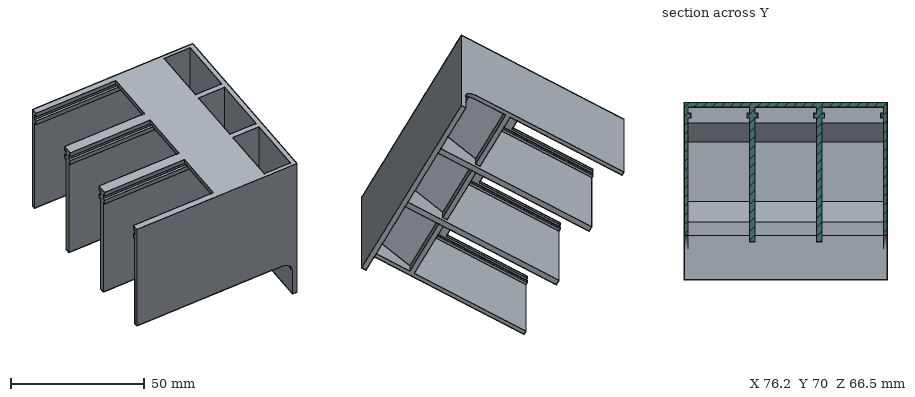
import cadquery as cq

WIDTH = 76.2
DEPTH = 70.0
HEIGHT = 66.5
BAYS = 3

SIDE_WALL = 1.5
DIVIDER = 2.1
BACK_WALL = 2.0
SIDE_BOTTOM = 16.6
DIVIDER_BOTTOM = 14.2
CORNER_RADIUS = 4.95

TOP_THICKNESS = 1.9
TOP_FRONT = 35.1
SLOT_FRONT = 13.4
LIP = 1.0
RIB_DROP = 4.05
RIB_HEIGHT = 1.9

INNER_WALL = 1.9
UPPER_STEP = 6.4
LOWER_STEP = 12.95
UPPER_SLOPE_DROP = 7.7
UPPER_SLOPE_END_DROP = 14.9
LOWER_SLOPE_DROP = 37.2
LOWER_SLOPE_END_DROP = 44.95

BAY_WIDTH = (WIDTH - 2 * SIDE_WALL - (BAYS - 1) * DIVIDER) / BAYS
PITCH = BAY_WIDTH + DIVIDER


def block(x_min, x_max, front, back, z_min, z_max):
    """Box between limits; front and back are distances from the back face."""
    size = (x_max - x_min, front - back, z_max - z_min)
    return cq.Workplane("XY").box(*size, centered=False).translate((x_min, -front, z_min))


def side_wall(x_min):
    """Outer wall with a rounded inside corner where it meets the back wall."""
    wall = block(x_min, x_min + SIDE_WALL, DEPTH, 0, SIDE_BOTTOM, HEIGHT)
    corner_front = BACK_WALL + CORNER_RADIUS
    corner_bottom = SIDE_BOTTOM - CORNER_RADIUS
    corner = block(x_min, x_min + SIDE_WALL, corner_front, 0, corner_bottom, SIDE_BOTTOM)
    rounding = (
        cq.Workplane("YZ", origin=(x_min, 0, 0))
        .center(-corner_front, corner_bottom)
        .circle(CORNER_RADIUS)
        .extrude(SIDE_WALL)
    )
    return wall.union(corner.cut(rounding))


def inner_wall():
    """Folded wall of constant depth along Y that separates the rear ducts from the bays."""
    back = -SLOT_FRONT
    lower_back = back + UPPER_STEP - LOWER_STEP
    levels = [
        (back, HEIGHT),
        (back, HEIGHT - UPPER_SLOPE_DROP),
        (back + UPPER_STEP, HEIGHT - UPPER_SLOPE_END_DROP),
        (back + UPPER_STEP, HEIGHT - LOWER_SLOPE_DROP),
        (lower_back, HEIGHT - LOWER_SLOPE_END_DROP),
        (lower_back, SIDE_BOTTOM),
    ]
    front_edge = [(y - INNER_WALL, z) for y, z in reversed(levels)]
    inner_width = WIDTH - 2 * SIDE_WALL
    profile = cq.Workplane("YZ").polyline(levels + front_edge).close()
    return profile.extrude(inner_width / 2, both=True)


def guides(x_min, x_max):
    """Top lip and lower rib overhanging the wall between x_min and x_max."""
    left = max(x_min - LIP, -WIDTH / 2)
    right = min(x_max + LIP, WIDTH / 2)
    lip = block(left, right, DEPTH, SLOT_FRONT, HEIGHT - TOP_THICKNESS, HEIGHT)
    rib_top = HEIGHT - RIB_DROP
    rib = block(left, right, DEPTH, SLOT_FRONT, rib_top - RIB_HEIGHT, rib_top)
    return lip.union(rib)


half = WIDTH / 2
result = block(-half, half, BACK_WALL, 0, 0, HEIGHT)
result = result.union(block(-half, half, TOP_FRONT, SLOT_FRONT, HEIGHT - TOP_THICKNESS, HEIGHT))
result = result.union(inner_wall())

for wall_x in (-half, half - SIDE_WALL):
    result = result.union(side_wall(wall_x))
    result = result.union(guides(wall_x, wall_x + SIDE_WALL))

for index in range(1, BAYS):
    divider_x = -half + SIDE_WALL + index * PITCH - DIVIDER
    result = result.union(block(divider_x, divider_x + DIVIDER, DEPTH, 0, DIVIDER_BOTTOM, HEIGHT))
    result = result.union(guides(divider_x, divider_x + DIVIDER))